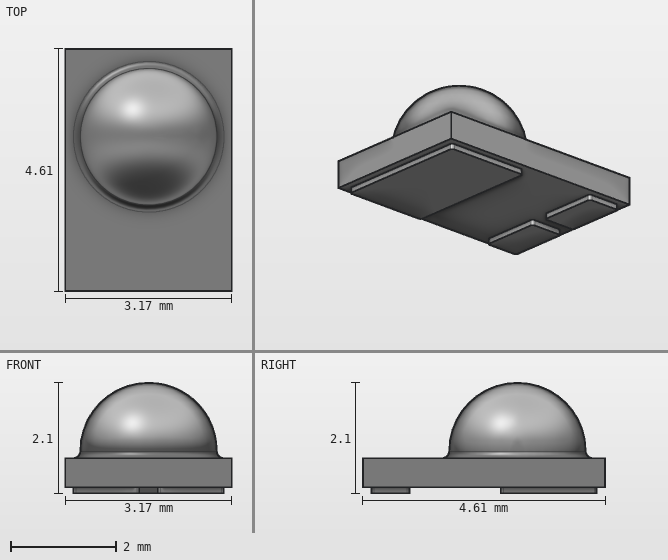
import cadquery as cq
import math

board_width = 3.17
board_length = 4.61
board_thickness = 0.56

dome_radius = 1.3
flare_radius = 0.135
dome_y = 0.635

pad_height = 0.11
pad_corner_radius = 0.05
pad_margin_x = 0.15
pad_margin_y = 0.16
large_pad_length = 1.825
small_pad_length = 0.73
small_pad_gap = 0.35

pad_span = board_width - 2 * pad_margin_x
small_pad_width = (pad_span - small_pad_gap) / 2
pad_edge_y = board_length / 2 - pad_margin_y


def make_board():
    """Flat board with its underside at z = 0."""
    return cq.Workplane("XY").box(
        board_width, board_length, board_thickness, centered=(True, True, False)
    )


def make_lens():
    """Hemisphere on a concave flare, revolved about its vertical axis."""
    diagonal = math.sqrt(0.5)
    foot_radius = dome_radius + flare_radius
    profile = (
        cq.Workplane("XZ")
        .lineTo(foot_radius, 0)
        .threePointArc(
            (foot_radius - flare_radius * diagonal, flare_radius * (1 - diagonal)),
            (dome_radius, flare_radius),
        )
        .threePointArc(
            (dome_radius * diagonal, flare_radius + dome_radius * diagonal),
            (0, flare_radius + dome_radius),
        )
        .close()
    )
    lens = profile.revolve(360, (0, 0, 0), (0, 1, 0))
    return lens.translate((0, dome_y, board_thickness))


def make_pad(width, length, x, y):
    """Rounded pad centred at (x, y), hanging below the board."""
    pad = cq.Workplane("XY").box(width, length, pad_height, centered=(True, True, False))
    return pad.edges("|Z").fillet(pad_corner_radius).translate((x, y, -pad_height))


result = make_board().union(make_lens())

large_pad_y = pad_edge_y - large_pad_length / 2
result = result.union(make_pad(pad_span, large_pad_length, 0, large_pad_y))

small_pad_x = (small_pad_gap + small_pad_width) / 2
small_pad_y = small_pad_length / 2 - pad_edge_y
for side in (-1, 1):
    pad = make_pad(small_pad_width, small_pad_length, side * small_pad_x, small_pad_y)
    result = result.union(pad)